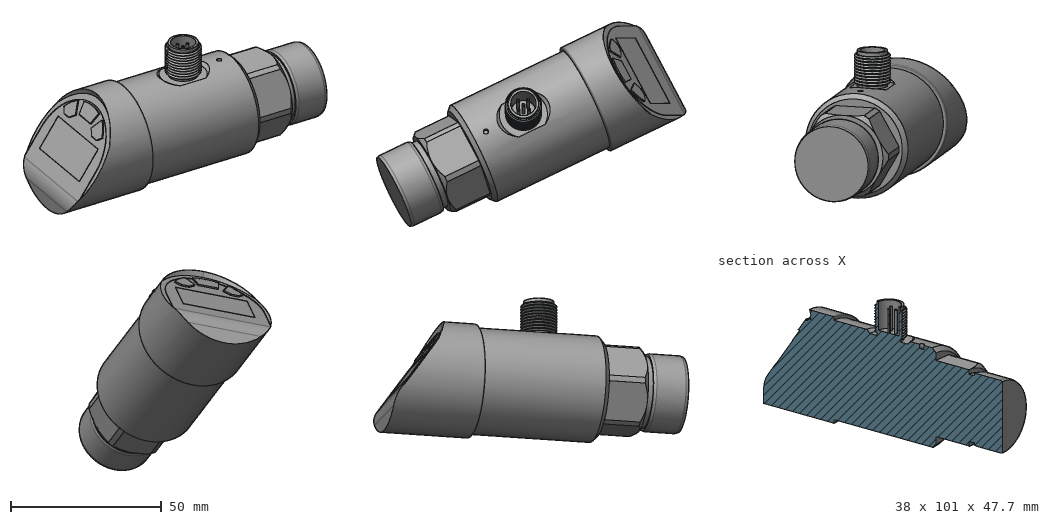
import cadquery as cq
import math

total_length = 101.0

head_back = 29.9
body_back = 72.9
hex_back = 87.0
neck_back = 89.0

head_radius = 19.0
head_edge_round = 0.3
body_radius = 35.5 / 2
body_chamfer = 1.5
neck_radius = 24.0 / 2
plug_radius = 26.0 / 2
plug_chamfer_length = 1.0
plug_chamfer_depth = 0.3
hex_flats = 27.2
hex_corner_radius = 15.2
hex_chamfer = 1.5

face_angle = 35.4
rim_angle = 27.7
rim_top_y = 19.4
rim_wall_taper = 45.0
rim_wall_depth = 3.0
face_corner_z = -10.8
face_corner_radius = 9.5
face_round_z = -8.4

panel_radius = 17.4
panel_arc_height = 1.2
panel_step = 0.2
window_width = 25.5
window_height = 12.5
window_center = 1.5
window_depth = 0.1
button_rise = 0.5
button_overlap = 0.1

connector_y = 52.9
connector_top = 28.7
connector_radius = 5.0
connector_embed = 1.0
thread_radius = 12.0 / 2
thread_root_radius = 11.0 / 2
thread_pitch = 1.0
thread_turns = 10
thread_top = 27.5
socket_radius = 8.4 / 2
socket_depth = 10.1
pin_diameter = 1.0
pin_setback = 1.5
pin_circle_radius = 2.4
pin_start_angle = 22.0
pin_tip_chamfer = 0.2
seat_z = 16.6
seat_radius = 16.0 / 2
seat_wall_taper = 45.0

vent_y = 66.9
vent_diameter = 1.7
vent_depth = 1.5

face_slope = math.tan(math.radians(face_angle))
face_axis_y = -face_corner_z * face_slope
face_normal = (0, -math.cos(math.radians(face_angle)), math.sin(math.radians(face_angle)))
rim_slope = math.tan(math.radians(rim_angle))
rim_axis_y = rim_top_y - head_radius * rim_slope
rim_normal = (0, -math.cos(math.radians(rim_angle)), math.sin(math.radians(rim_angle)))


def cylinder_y(radius, front, back):
    return cq.Workplane("XZ", origin=(0, front, 0)).circle(radius).extrude(front - back)


def face_plane(offset=0.0):
    """Workplane on the sloping face, local Y pointing up the slope; offset is along its normal."""
    plane = cq.Plane(origin=(0, face_axis_y, 0), xDir=(1, 0, 0), normal=face_normal)
    return cq.Workplane(plane).workplane(offset=offset)


def in_front_of_face(offset):
    side = 4 * head_radius
    return face_plane(offset).rect(side, side).extrude(side)


def make_plug_and_neck():
    end_radius = plug_radius - plug_chamfer_depth
    return (
        cq.Workplane("XY")
        .moveTo(0, hex_back)
        .lineTo(neck_radius, hex_back)
        .lineTo(neck_radius, neck_back)
        .lineTo(end_radius, neck_back)
        .lineTo(plug_radius, neck_back + plug_chamfer_length)
        .lineTo(plug_radius, total_length - plug_chamfer_length)
        .lineTo(end_radius, total_length)
        .lineTo(0, total_length)
        .close()
        .revolve(360, (0, 0, 0), (0, 1, 0))
    )


def make_hex():
    across_corners = hex_flats / math.cos(math.radians(30))
    prism = (
        cq.Workplane("XZ", origin=(0, body_back, 0))
        .polygon(6, across_corners).extrude(body_back - hex_back)
    )
    turned = cylinder_y(hex_corner_radius, body_back, hex_back).faces(">Y").chamfer(hex_chamfer)
    return prism.intersect(turned)


def make_body():
    return cylinder_y(body_radius, head_back, body_back).faces(">Y").chamfer(body_chamfer)


def make_panel():
    """Plate with a round top and straight sides that carries the window and the buttons."""
    bottom = face_round_z / math.cos(math.radians(face_angle))
    return (
        face_plane(-panel_step)
        .moveTo(-panel_radius, bottom)
        .lineTo(-panel_radius, panel_arc_height)
        .threePointArc((0, panel_arc_height + panel_radius), (panel_radius, panel_arc_height))
        .lineTo(panel_radius, bottom)
        .close()
        .extrude(panel_step)
    )


def make_menu_button():
    return (
        face_plane(-button_overlap)
        .moveTo(-3.5, 12.8)
        .lineTo(3.5, 12.8)
        .lineTo(4.6, 17.4)
        .threePointArc((0, 18.1), (-4.6, 17.4))
        .close()
        .extrude(button_rise + button_overlap)
    )


def make_plus_button():
    return (
        face_plane(-button_overlap)
        .moveTo(-7.7, 16.4)
        .lineTo(-5.0, 11.9)
        .lineTo(-7.5, 9.8)
        .lineTo(-10.2, 9.8)
        .lineTo(-12.1, 11.6)
        .threePointArc((-10.1, 14.3), (-7.7, 16.4))
        .close()
        .extrude(button_rise + button_overlap)
    )


def make_head():
    blank = cylinder_y(head_radius, 0, head_back).faces(">Y").edges().fillet(head_edge_round)

    kink_z = (rim_axis_y - face_axis_y) / (face_slope - rim_slope)
    kink_y = face_axis_y + kink_z * face_slope
    profile = (
        cq.Workplane("YZ")
        .moveTo(0, -head_radius)
        .lineTo(0, face_corner_z)
        .lineTo(kink_y, kink_z)
        .lineTo(rim_top_y, head_radius)
        .lineTo(head_back, head_radius)
        .lineTo(head_back, -head_radius)
        .close()
        .extrude(head_radius, both=True)
    )
    front_corner = cq.selectors.NearestToPointSelector((0, 0, face_corner_z))
    profile = profile.edges("|X").edges(front_corner).fillet(face_corner_radius)
    head = blank.intersect(profile)

    rim_plane = cq.Plane(origin=(0, rim_axis_y, 0), xDir=(1, 0, 0), normal=rim_normal)
    rim_half_height = head_radius / math.cos(math.radians(rim_angle))
    scoop = (
        cq.Workplane(rim_plane)
        .ellipse(head_radius, rim_half_height)
        .extrude(-rim_wall_depth, taper=rim_wall_taper)
    )
    head = head.cut(scoop.intersect(in_front_of_face(-panel_step)))

    ledge_zone = (
        cq.Workplane("XY", origin=(0, 0, face_round_z))
        .rect(2 * head_radius, 2 * head_back)
        .extrude(kink_z - face_round_z)
    )
    head = head.cut(ledge_zone.intersect(in_front_of_face(-panel_step)))
    head = head.union(make_panel().intersect(blank))
    window = (
        face_plane().center(0, window_center)
        .rect(window_width, window_height).extrude(-window_depth)
    )
    plus_button = make_plus_button()
    return (
        head.cut(window)
        .union(make_menu_button())
        .union(plus_button)
        .union(plus_button.mirror("YZ"))
    )


def make_seat():
    """Flat-bottomed seat with a flared wall, sunk into the top of the body."""
    depth = body_radius - seat_z
    return (
        cq.Workplane("XY", origin=(0, connector_y, seat_z))
        .circle(seat_radius)
        .extrude(depth, taper=-seat_wall_taper)
    )


def make_connector():
    core_bottom = seat_z - connector_embed
    base = cq.Workplane("XY", origin=(0, connector_y, core_bottom))
    connector = base.circle(connector_radius).extrude(connector_top - core_bottom)

    outline = cq.Workplane("XZ", origin=(0, connector_y, 0)).moveTo(0, thread_top)
    outline = outline.lineTo(thread_root_radius, thread_top)
    for turn in range(thread_turns):
        ridge_top = thread_top - turn * thread_pitch
        outline = outline.lineTo(thread_radius, ridge_top - thread_pitch / 2)
        outline = outline.lineTo(thread_root_radius, ridge_top - thread_pitch)
    thread_bottom = thread_top - thread_turns * thread_pitch
    thread = outline.lineTo(0, thread_bottom).close().revolve(360, (0, 0, 0), (0, 1, 0))

    top = cq.Workplane("XY", origin=(0, connector_y, connector_top))
    socket = top.circle(socket_radius).extrude(-socket_depth)
    pins = (
        top.workplane(offset=-socket_depth)
        .polarArray(pin_circle_radius, pin_start_angle, 360, 4)
        .circle(pin_diameter / 2)
        .extrude(socket_depth - pin_setback)
    )
    center_pin = (
        top.workplane(offset=-socket_depth)
        .circle(pin_diameter / 2)
        .extrude(socket_depth - pin_setback)
    )
    pins = pins.union(center_pin).faces(">Z").chamfer(pin_tip_chamfer)
    return connector.union(thread).cut(socket).union(pins)


def make_vent():
    top = cq.Workplane("XY", origin=(0, vent_y, body_radius))
    return top.circle(vent_diameter / 2).extrude(-vent_depth)


result = (
    make_body()
    .cut(make_seat())
    .cut(make_vent())
    .union(make_head())
    .union(make_hex())
    .union(make_plug_and_neck())
    .union(make_connector())
)